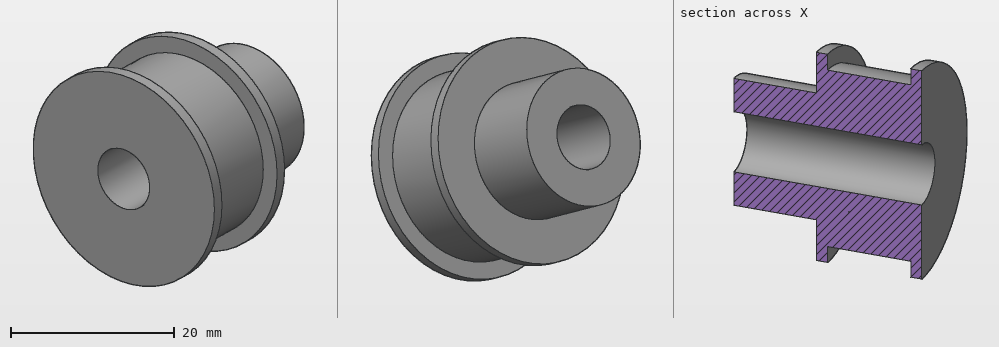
import cadquery as cq

flange_diameter = 28.0
drum_diameter = 23.75
hub_diameter = 17.08
bore_diameter = 8.0

total_length = 25.0
flange_thickness = 1.5
drum_length = 11.0
hub_length = total_length - drum_length - 2 * flange_thickness


def disc(diameter, start, length):
    """Solid cylinder along +Y, beginning at Y = start."""
    plane = cq.Plane(origin=(0, start, 0), xDir=(1, 0, 0), normal=(0, 1, 0))
    return cq.Workplane(plane).circle(diameter / 2).extrude(length)


sections = [
    (flange_diameter, flange_thickness),
    (drum_diameter, drum_length),
    (flange_diameter, flange_thickness),
    (hub_diameter, hub_length),
]

pulley = cq.Workplane()
section_start = 0.0
for diameter, length in sections:
    pulley = pulley.add(disc(diameter, section_start, length))
    section_start += length
pulley = pulley.combine()

result = pulley.cut(disc(bore_diameter, 0.0, total_length))